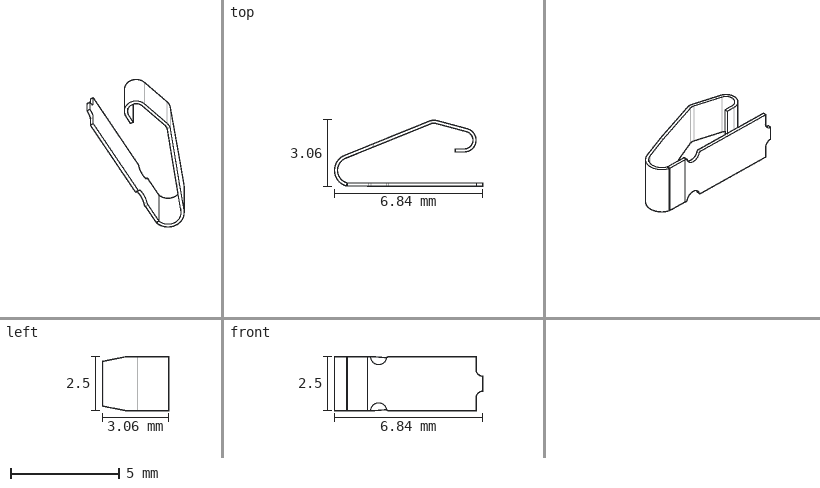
import cadquery as cq
import math

strip_thickness = 0.15
strip_width = 2.5

plate_end_x = 6.84
plate_thickness = 0.16
neck_end_x = 1.53
notch_x = 2.04
notch_radius = 0.37
notch_corner_radius = 0.1
tab_half_width = 0.35
tab_length = 0.3

bend_outer_radius = 0.75
bend_center = (bend_outer_radius, 0.74)
apex_outer_radius = 0.5
hook_outer_radius = 0.55
hook_center = (5.985, 2.132)
long_arm_angle = 22.0
short_arm_angle = -15.0
lip_angle = 1.0
lip_length = 0.43
narrow_width = 2.07
taper_start = (1.815, 1.97)

bend_inner_radius = bend_outer_radius - strip_thickness
apex_inner_radius = apex_outer_radius - strip_thickness
hook_inner_radius = hook_outer_radius - strip_thickness

bend_end_angle = 270 - math.degrees(math.acos((bend_center[1] - plate_thickness) / bend_inner_radius))


def polar(center, radius, angle):
    """Point at a distance and an angle (degrees from +X) from a centre."""
    a = math.radians(angle)
    return (center[0] + radius * math.cos(a), center[1] + radius * math.sin(a))


def along(point, angle):
    """Distance of a point along the direction given by an angle."""
    a = math.radians(angle)
    return point[0] * math.cos(a) + point[1] * math.sin(a)


def line_crossing(p, p_angle, q, q_angle):
    """Crossing of the line through p and the line through q, each given by its angle."""
    p_to_q = (q[0] - p[0], q[1] - p[1])
    reach = along(p_to_q, q_angle + 90) / math.sin(math.radians(p_angle - q_angle))
    return polar(p, reach, p_angle)


long_arm_normal = long_arm_angle + 90
short_arm_normal = short_arm_angle + 90
lip_normal = lip_angle - 90

apex_center = line_crossing(
    polar(bend_center, bend_outer_radius - apex_outer_radius, long_arm_normal),
    long_arm_angle,
    polar(hook_center, hook_outer_radius - apex_outer_radius, short_arm_normal),
    short_arm_angle,
)


def arc(outline, center, radius, start_angle, end_angle):
    """Arc that continues an outline standing at the arc's start angle."""
    middle_angle = (start_angle + end_angle) / 2
    return outline.threePointArc(polar(center, radius, middle_angle), polar(center, radius, end_angle))


def line_and_arc(outline, center, radius, start_angle, end_angle):
    """Straight run to the start of an arc, then the arc itself."""
    outline = outline.lineTo(*polar(center, radius, start_angle))
    return arc(outline, center, radius, start_angle, end_angle)


def spring_strip():
    """Full-width bent strip: out along the outer side, back along the inner side."""
    bend = (bend_end_angle, long_arm_normal)
    apex = (long_arm_normal, short_arm_normal)
    hook = (short_arm_normal, lip_normal)
    lip_direction = lip_angle + 180
    lip_outer_end = polar(polar(hook_center, hook_outer_radius, lip_normal), lip_length, lip_direction)
    lip_inner_end = polar(polar(hook_center, hook_inner_radius, lip_normal), lip_length, lip_direction)

    outline = cq.Workplane("XY", origin=(0, 0, -strip_width / 2))
    outline = outline.moveTo(*polar(bend_center, bend_inner_radius, bend_end_angle))
    outline = line_and_arc(outline, bend_center, bend_outer_radius, *bend)
    outline = line_and_arc(outline, apex_center, apex_outer_radius, *apex)
    outline = line_and_arc(outline, hook_center, hook_outer_radius, *hook)
    outline = outline.lineTo(*lip_outer_end).lineTo(*lip_inner_end)
    outline = line_and_arc(outline, hook_center, hook_inner_radius, *reversed(hook))
    outline = line_and_arc(outline, apex_center, apex_inner_radius, *reversed(apex))
    outline = line_and_arc(outline, bend_center, bend_inner_radius, *reversed(bend))
    return outline.close().extrude(strip_width)


def taper_cutter(side):
    """Waste beside the tapered and narrow lengths, cut square to the short arm, on +Z or -Z."""
    overshoot = 1.0
    reach = plate_end_x
    taper_end = polar(apex_center, apex_inner_radius, long_arm_normal)
    start = along(taper_start, short_arm_angle)
    end = along(taper_end, short_arm_angle)
    far = reach + overshoot
    full = side * strip_width / 2
    narrow = side * narrow_width / 2
    outside = full + side * overshoot

    a = math.radians(short_arm_angle)
    plane = cq.Plane(
        origin=(0, 0, 0),
        xDir=(math.cos(a), math.sin(a), 0),
        normal=(math.sin(a), -math.cos(a), 0),
    )
    waste = [(start, full), (end, narrow), (far, narrow), (far, outside), (start, outside)]
    return cq.Workplane(plane).polyline(waste).close().extrude(reach, both=True)


def make_spring():
    spring = spring_strip()
    for side in (1, -1):
        spring = spring.cut(taper_cutter(side))
    return spring


def plate_slab(start_x, end_x, outer_y):
    """Full-width slab from an outer face to the plate's inner face."""
    return cq.Workplane("XY").box(
        end_x - start_x, plate_thickness - outer_y, strip_width, centered=(False, False, True)
    ).translate((start_x, outer_y, 0))


def edge_notch(side):
    """Half-round notch in the +Z or -Z edge, with rounded corners where it meets the edge."""
    edge = strip_width / 2
    corner_distance = notch_radius + notch_corner_radius
    corner_dx = math.sqrt(corner_distance ** 2 - notch_corner_radius ** 2)
    corner_tilt = math.degrees(math.asin(notch_corner_radius / corner_distance))
    center = (notch_x, edge)
    left_corner = (notch_x - corner_dx, edge - notch_corner_radius)
    right_corner = (notch_x + corner_dx, edge - notch_corner_radius)

    outline = cq.Workplane("XZ").moveTo(notch_x - corner_dx, edge)
    outline = arc(outline, left_corner, notch_corner_radius, 90, corner_tilt)
    outline = arc(outline, center, notch_radius, 180 + corner_tilt, 360 - corner_tilt)
    outline = arc(outline, right_corner, notch_corner_radius, 180 - corner_tilt, 90)
    notch = outline.close().extrude(-plate_thickness)
    return notch if side > 0 else notch.mirror("XY")


def tab_relief(side):
    """Material removed beside the end tab: a square corner ending in a round scoop."""
    scoop_z = side * (tab_half_width + tab_length)
    edge_z = side * strip_width / 2
    shoulder_x = plate_end_x - tab_length
    return (
        cq.Workplane("XZ")
        .moveTo(plate_end_x, edge_z)
        .lineTo(shoulder_x, edge_z)
        .lineTo(shoulder_x, scoop_z)
        .threePointArc(
            polar((plate_end_x, scoop_z), tab_length, 180 + side * 45),
            (plate_end_x, side * tab_half_width),
        )
        .close()
        .extrude(-plate_thickness)
    )


def make_plate():
    start_x = polar(bend_center, bend_inner_radius, bend_end_angle)[0]
    neck = plate_slab(start_x, neck_end_x, plate_thickness - strip_thickness)
    plate = plate_slab(neck_end_x, plate_end_x, 0).union(neck)
    for side in (1, -1):
        plate = plate.cut(edge_notch(side)).cut(tab_relief(side))
    return plate


spring = make_spring()
plate = make_plate()
result = cq.Compound.makeCompound([spring.val(), plate.val()])